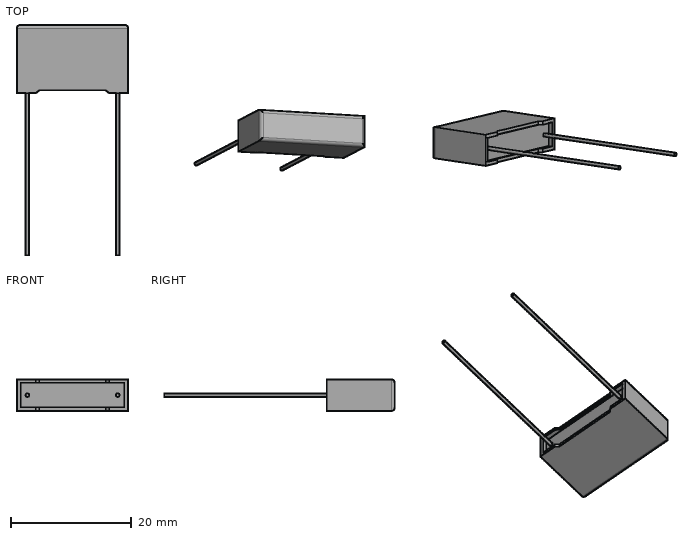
import cadquery as cq

OVERALL_LENGTH = 38.3
CASE_WIDTH = 18.5
CASE_DEPTH = 11.35
CASE_HEIGHT = 5.3
WALL = 0.6
BACK_EDGE_RADIUS = 0.57

NOTCH_DEPTH = 0.45
NOTCH_END_MARGIN = 3.18
NOTCH_SLOPE_RUN = 0.57

FILL_RECESS = 0.75

LEAD_DIAMETER = 0.6
LEAD_PITCH = 15.0

MOUTH_Y = OVERALL_LENGTH - CASE_DEPTH
BACK_Y = OVERALL_LENGTH
FILL_FACE_Y = MOUTH_Y + FILL_RECESS

CAVITY_WIDTH = CASE_WIDTH - 2 * WALL
CAVITY_HEIGHT = CASE_HEIGHT - 2 * WALL


def make_block(width, height, start_y, end_y):
    """Block centred on X and Z that spans start_y to end_y."""
    return (
        cq.Workplane("XY")
        .box(width, end_y - start_y, height, centered=(True, False, True))
        .translate((0, start_y, 0))
    )


def make_notch_cutter():
    """Trapezoid through the full height that notches the top and bottom walls."""
    mouth_half = CASE_WIDTH / 2 - NOTCH_END_MARGIN
    floor_half = mouth_half - NOTCH_SLOPE_RUN
    return (
        cq.Workplane("XY")
        .polyline([
            (-mouth_half, MOUTH_Y),
            (mouth_half, MOUTH_Y),
            (floor_half, MOUTH_Y + NOTCH_DEPTH),
            (-floor_half, MOUTH_Y + NOTCH_DEPTH),
        ])
        .close()
        .extrude(CASE_HEIGHT / 2, both=True)
    )


def make_case():
    """Rounded-back shell with an open, notched mouth."""
    outside = make_block(CASE_WIDTH, CASE_HEIGHT, MOUTH_Y, BACK_Y)
    outside = outside.faces(">Y").edges().fillet(BACK_EDGE_RADIUS)
    cavity = make_block(CAVITY_WIDTH, CAVITY_HEIGHT, MOUTH_Y, BACK_Y - WALL)
    return outside.cut(cavity).cut(make_notch_cutter())


def make_fill():
    """Resin that fills the cavity up to a face set back from the mouth."""
    return make_block(CAVITY_WIDTH, CAVITY_HEIGHT, FILL_FACE_Y, BACK_Y - WALL)


def make_lead(x):
    """Straight round wire from its tip to the face of the fill."""
    return cq.Workplane("XZ").center(x, 0).circle(LEAD_DIAMETER / 2).extrude(-FILL_FACE_Y)


case = make_case()
fill = make_fill()
leads = [make_lead(side * LEAD_PITCH / 2) for side in (-1, 1)]

result = cq.Compound.makeCompound([case.val(), fill.val(), *[lead.val() for lead in leads]])